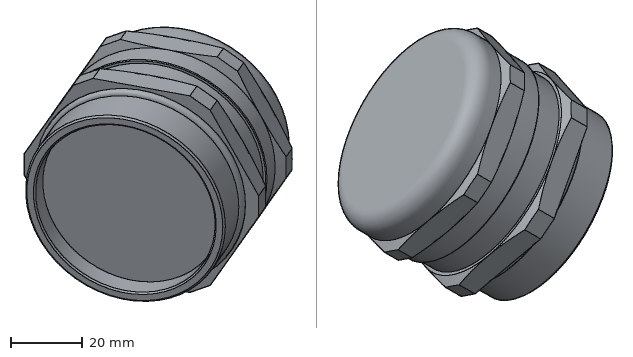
import cadquery as cq
import math


width_over_corners = 69.9
width_over_flats = 64.0
total_length = 52.0

thread_radius = 29.8
body_radius = 31.0
cap_radius = width_over_flats / 2
bore_radius = 26.8

body_nut_start = 14.0
body_nut_length = 7.0
cap_start = 28.95
cap_nut_start = 36.0
cap_nut_length = 7.0

mouth_chamfer = 0.55
bore_chamfer = 0.5
cap_rim_chamfer = 0.3
dome_radius = 4.95
body_nut_bevel_angle = 21.0
cap_nut_bevel_angle = 17.0

ring_section_radius = 1.4
ring_standoff = 0.7
bore_depth = 6.5


def cylinder(radius, start, length):
    """Round bar on the Y axis, reaching from start toward +Y."""
    return cq.Workplane("XZ", origin=(0, start, 0)).circle(radius).extrude(-length)


def bevel_cone(face, direction, angle):
    """Cone that meets a nut face at the flats and widens along direction (+1 or -1)."""
    flat = width_over_flats / 2
    height = width_over_corners
    wide = flat + height / math.tan(math.radians(angle))
    far = face + direction * height
    outline = [(0, face), (flat, face), (wide, far), (0, far)]
    return cq.Workplane("XY").polyline(outline).close().revolve(360, (0, 0, 0), (0, 1, 0))


def hex_nut(start, length, bevel_angle, bevel_front):
    """Hexagon with flats on top and bottom, its corners cut flat and its faces bevelled."""
    points_per_flats = 1 / math.cos(math.pi / 6)
    plane = cq.Workplane("XZ", origin=(0, start, 0))
    nut = plane.polygon(6, width_over_flats * points_per_flats).extrude(-length)
    corner_cut = plane.transformed(rotate=(0, 0, 30))
    corner_cut = corner_cut.polygon(6, width_over_corners * points_per_flats).extrude(-length)
    nut = nut.intersect(corner_cut)
    nut = nut.intersect(bevel_cone(start + length, -1, bevel_angle))
    if bevel_front:
        nut = nut.intersect(bevel_cone(start, 1, bevel_angle))
    return nut


def entry_thread():
    """Plain thread blank with a chamfered mouth."""
    return cylinder(thread_radius, 0, body_nut_start).faces("<Y").chamfer(mouth_chamfer)


def sealing_ring():
    """Round-section ring centred on the thread surface and partly sunk into the body nut."""
    centre = body_nut_start - ring_standoff
    section = cq.Workplane("XY").moveTo(thread_radius, centre - ring_section_radius)
    section = section.threePointArc(
        (thread_radius + ring_section_radius, centre),
        (thread_radius, centre + ring_section_radius),
    ).close()
    return section.revolve(360, (0, 0, 0), (0, 1, 0))


def cap():
    """Domed clamping cap."""
    blank = cylinder(cap_radius, cap_start, total_length - cap_start)
    return blank.faces(">Y").edges().fillet(dome_radius).faces("<Y").chamfer(cap_rim_chamfer)


def bore():
    """Blind bore with a countersunk mouth."""
    mouth = bore_radius + bore_chamfer
    outline = [(0, 0), (mouth, 0), (bore_radius, bore_chamfer), (bore_radius, bore_depth), (0, bore_depth)]
    return cq.Workplane("XY").polyline(outline).close().revolve(360, (0, 0, 0), (0, 1, 0))


body = cylinder(body_radius, body_nut_start, cap_start - body_nut_start)
result = entry_thread().union(sealing_ring())
result = result.union(hex_nut(body_nut_start, body_nut_length, body_nut_bevel_angle, bevel_front=False))
result = result.union(body)
result = result.union(cap())
result = result.union(hex_nut(cap_nut_start, cap_nut_length, cap_nut_bevel_angle, bevel_front=True))
result = result.cut(bore())